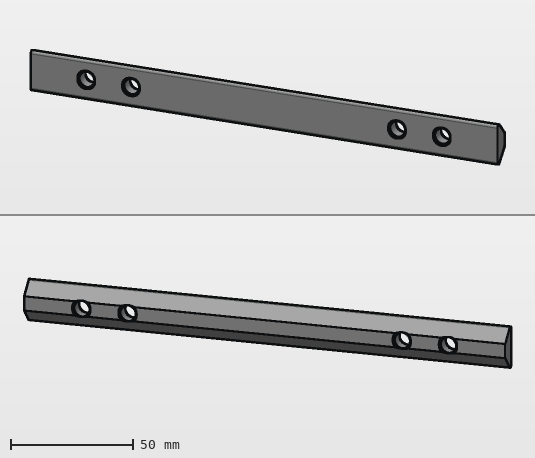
import cadquery as cq
import math

length = 209.0
thickness = 7.5
height = 17.5

edge_radius = 1.3
flank_angle = math.radians(45)

hole_diameter = 6.7
hole_chamfer = 0.67
end_to_outer_hole = 24.9
hole_spacing = 20.0

front_y = -thickness / 2
back_y = thickness / 2


def make_bar():
    """Bar along X whose long front edges are rounded into the sloping flanks."""
    half_height = height / 2
    arc_y = front_y + edge_radius
    arc_z = half_height - edge_radius
    flank_y = arc_y + edge_radius * math.sin(flank_angle)
    flank_z = arc_z + edge_radius * math.cos(flank_angle)
    back_z = flank_z - (back_y - flank_y) * math.tan(flank_angle)
    return (
        cq.Workplane("YZ")
        .moveTo(front_y, -arc_z)
        .lineTo(front_y, arc_z)
        .threePointArc((arc_y, half_height), (flank_y, flank_z))
        .lineTo(back_y, back_z)
        .lineTo(back_y, -back_z)
        .lineTo(flank_y, -flank_z)
        .threePointArc((arc_y, -half_height), (front_y, -arc_z))
        .close()
        .extrude(length / 2, both=True)
    )


def hole_cutter(x):
    """Revolved cutter for one through hole and its two chamfers."""
    radius = hole_diameter / 2
    return (
        cq.Workplane("XY")
        .moveTo(0, front_y)
        .lineTo(radius + hole_chamfer, front_y)
        .lineTo(radius, front_y + hole_chamfer)
        .lineTo(radius, back_y - hole_chamfer)
        .lineTo(radius + hole_chamfer, back_y)
        .lineTo(0, back_y)
        .close()
        .revolve(360, (0, 0, 0), (0, 1, 0))
        .translate((x, 0, 0))
    )


outer_hole_x = length / 2 - end_to_outer_hole
inner_hole_x = outer_hole_x - hole_spacing

result = make_bar()
for hole_x in (-outer_hole_x, -inner_hole_x, inner_hole_x, outer_hole_x):
    result = result.cut(hole_cutter(hole_x))